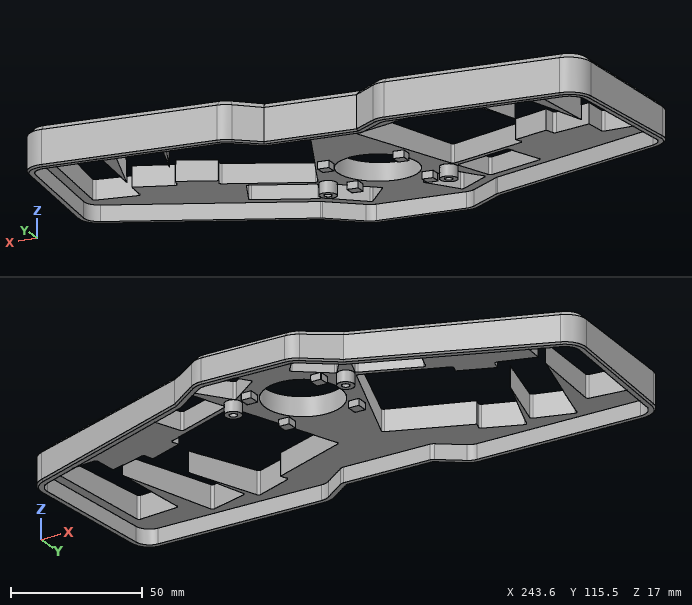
import cadquery as cq
import math

half_width = 121.8
back_y = 115.5
body_height = 17.0
top_slope = 2.0
corner_radius = 9.3
top_chamfer = 2.5
bottom_chamfer = 0.7
cutter_height = 2 * body_height

side_tilt = math.radians(5)
front_sweep = math.radians(21.1)
corner_turn = math.pi / 2 + side_tilt - front_sweep
corner_tangent = corner_radius * math.tan(corner_turn / 2)
round_center_x = half_width - corner_radius

front_corner = (21.7, 0)
knee_x = 37.7
knee_y = 11.7
side_front_x = round_center_x + corner_radius * math.cos(side_tilt) + corner_tangent * math.sin(side_tilt)
side_front_y = knee_y + (side_front_x - knee_x) * math.tan(front_sweep)
side_back_x = side_front_x - (back_y - side_front_y) * math.tan(side_tilt)
front_knee = (knee_x, knee_y)
side_front_corner = (side_front_x, side_front_y)
side_back_corner = (side_back_x, back_y)
back_corner = (31.7, back_y)
back_notch = (19.2, 106.5)
rounded_corners = [front_corner, side_front_corner, side_back_corner, back_corner]

rim_thickness = 3.0
cavity_depth = 6.5

circle_diameter = 33.0
circle_y = 43.3

window_radius = 1.0
long_window = 51.6
windows = [
    (103.0, 75.7, 19.0, long_window, 5.3),
    (79.9, 82.0, 18.5, long_window, 16.5),
    (60.5, 80.5, 18.5, long_window, 21),
    (36.3, 67.2, 37.5, long_window, 21),
    (44.8, 31.0, 27.3, 17.8, 21),
    (20.7, 18.8, 18.0, 17.5, 37),
]

post_side = 4.6
post_bottom = 3.7
post_x = 15.5
post_offset_y = 13.6

boss_diameter = 7.0
boss_hole_diameter = 3.2
boss_bottom = 1.7
boss_x = 25.0
boss_y = 33.5


def outline(height):
    """Upright prism with the rounded outer outline, symmetric about x = 0."""
    right = [front_corner, front_knee, side_front_corner, side_back_corner, back_corner, back_notch]
    left = [(-x, y) for x, y in reversed(right)]
    prism = cq.Workplane("XY").polyline(right + left).close().extrude(height)
    for x, y in rounded_corners:
        for side_x in (x, -x):
            corner_edge = cq.NearestToPointSelector((side_x, y, height / 2))
            prism = prism.edges(corner_edge).fillet(corner_radius)
    return prism


def body():
    """Outline cut to the sloping top, which reaches full height where the back chamfer ends."""
    rise = math.tan(math.radians(top_slope))
    back_z = body_height + top_chamfer * rise
    front_z = back_z - back_y * rise
    wedge = (
        cq.Workplane("YZ")
        .polyline([(0, 0), (back_y, 0), (back_y, back_z), (0, front_z)])
        .close()
        .extrude(side_front_x, both=True)
    )
    solid = outline(cutter_height).intersect(wedge)
    solid = solid.faces(">Z").edges().chamfer(top_chamfer)
    return solid.faces("<Z").edges().chamfer(bottom_chamfer)


def cavity():
    """Pocket that leaves a rim of even thickness inside the outline."""
    outer_wire = outline(cavity_depth).faces("<Z").wires().vals()
    return cq.Workplane("XY").add(outer_wire).toPending().offset2D(-rim_thickness).extrude(cavity_depth)


def posts():
    return (
        cq.Workplane("XY", origin=(0, circle_y, post_bottom))
        .rect(2 * post_x, 2 * post_offset_y, forConstruction=True)
        .vertices()
        .rect(post_side, post_side)
        .extrude(cavity_depth - post_bottom)
    )


def bosses():
    return (
        cq.Workplane("XY", origin=(0, boss_y, boss_bottom))
        .pushPoints([(boss_x, 0), (-boss_x, 0)])
        .circle(boss_diameter / 2)
        .circle(boss_hole_diameter / 2)
        .extrude(cavity_depth - boss_bottom)
    )


def round_opening():
    return cq.Workplane("XY").center(0, circle_y).circle(circle_diameter / 2).extrude(cutter_height)


def window(x, y, width, length, tilt):
    return (
        cq.Workplane("XY")
        .rect(width, length)
        .extrude(cutter_height)
        .edges("|Z")
        .fillet(window_radius)
        .rotate((0, 0, 0), (0, 0, 1), tilt)
        .translate((x, y, 0))
    )


result = body().cut(cavity()).union(posts()).union(bosses()).cut(round_opening())
for x, y, width, length, tilt in windows:
    result = result.cut(window(x, y, width, length, tilt))
    result = result.cut(window(-x, y, width, length, -tilt))